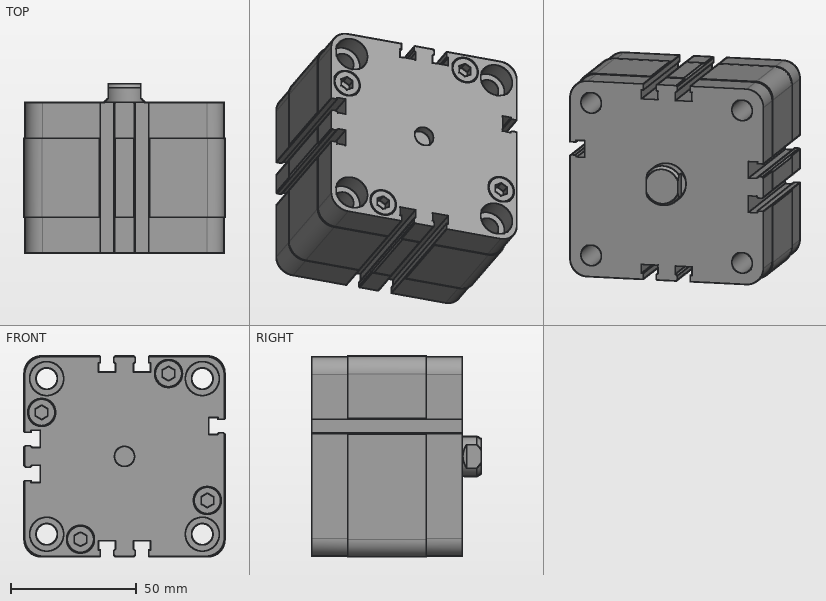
import cadquery as cq
import math


BARREL_WIDTH = 80.0
CAP_WIDTH = 79.4
CORNER_RADIUS = 7.0
HOUSING_LENGTH = 60.0
CAP_LENGTH = 14.3
BARREL_LENGTH = HOUSING_LENGTH - 2 * CAP_LENGTH

SLOT_NECK_WIDTH = 5.3
SLOT_WIDTH = 6.7
SLOT_DEPTH = 6.4
SLOT_LIP_DEPTH = 2.8
SLOT_OFFSET = 7.0
SINGLE_SLOT_OFFSET = 12.1
SLOT_EDGE_CHAMFER = 0.4
SLOT_BEVEL = (SLOT_WIDTH - SLOT_NECK_WIDTH) / 2

MOUNT_OFFSET = 31.0
MOUNT_HOLE_DIAMETER = 8.4
MOUNT_BORE_DIAMETER = 13.5
MOUNT_BORE_DEPTH = 8.6

SCREW_OFFSET_LONG = 33.0
SCREW_OFFSET_SHORT = 17.5
SCREW_HEAD_DIAMETER = 10.5
SCREW_BORE_DIAMETER = 11.1
SCREW_GAP_DEPTH = 4.0
HEX_ACROSS_FLATS = 5.0
HEX_DEPTH = 4.0

CENTRE_HOLE_DIAMETER = 8.0
CENTRE_HOLE_DEPTH = 4.0

ROD_DIAMETER = 16.0
ROD_LENGTH = 7.5
ROD_CHAMFER_LENGTH = 1.8
ROD_CHAMFER_HEIGHT = 1.0
ROD_ACROSS_FLATS = 13.0
ROD_FLAT_LENGTH = 5.8


def end_plane(y):
    """Plane square to the cylinder axis at height y, with local axes along X and Z."""
    return cq.Workplane("XZ", origin=(0, y, 0))


def housing_block(width, start, length):
    """Square block with rounded long edges."""
    block = end_plane(start).rect(width, width).extrude(-length)
    return block.edges("|Y").fillet(CORNER_RADIUS)


def slot_cutter(offset, face_angle, side):
    """Undercut slot in the +Z face, turned about Y to the wanted face.

    The lip away from the face centre is square and the lip towards it is bevelled;
    side is the direction (-1 or 1) of the slot from the face centre.
    """
    face = BARREL_WIDTH / 2
    neck = SLOT_NECK_WIDTH / 2
    wide = SLOT_WIDTH / 2
    profile = [
        (neck + SLOT_EDGE_CHAMFER, face),
        (neck, face - SLOT_EDGE_CHAMFER),
        (neck, face - SLOT_LIP_DEPTH),
        (wide, face - SLOT_LIP_DEPTH),
        (wide, face - SLOT_DEPTH),
        (-wide, face - SLOT_DEPTH),
        (-wide, face - SLOT_LIP_DEPTH - SLOT_BEVEL / 2),
        (-neck, face - SLOT_LIP_DEPTH + SLOT_BEVEL / 2),
        (-neck, face - SLOT_BEVEL),
        (-wide, face),
    ]
    points = [(side * (offset + u), z) for u, z in profile]
    cutter = end_plane(0).polyline(points).close().extrude(-HOUSING_LENGTH)
    return cutter.rotate((0, 0, 0), (0, 1, 0), face_angle)


def cut_sensor_slots(body):
    """Slot pairs on the top, bottom and -X faces, and a single slot on the +X face."""
    for face_angle in (0, 180, -90):
        for side in (-1, 1):
            body = body.cut(slot_cutter(SLOT_OFFSET, face_angle, side))
    return body.cut(slot_cutter(SINGLE_SLOT_OFFSET, 90, -1))


def cut_mounting_holes(body):
    centres = [(x, z) for x in (-MOUNT_OFFSET, MOUNT_OFFSET) for z in (-MOUNT_OFFSET, MOUNT_OFFSET)]
    holes = end_plane(0).pushPoints(centres).circle(MOUNT_HOLE_DIAMETER / 2).extrude(-HOUSING_LENGTH)
    bores = end_plane(0).pushPoints(centres).circle(MOUNT_BORE_DIAMETER / 2).extrude(-MOUNT_BORE_DEPTH)
    return body.cut(holes).cut(bores)


def cut_tie_screws(body):
    """Annular gap and hexagon socket of each tie screw, with hexagon corners towards +Z and -Z."""
    centres = [
        (SCREW_OFFSET_SHORT, SCREW_OFFSET_LONG),
        (SCREW_OFFSET_LONG, -SCREW_OFFSET_SHORT),
        (-SCREW_OFFSET_SHORT, -SCREW_OFFSET_LONG),
        (-SCREW_OFFSET_LONG, SCREW_OFFSET_SHORT),
    ]
    hex_across_corners = HEX_ACROSS_FLATS / math.cos(math.radians(30))
    for x, z in centres:
        gap = (
            end_plane(0)
            .center(x, z)
            .circle(SCREW_BORE_DIAMETER / 2)
            .circle(SCREW_HEAD_DIAMETER / 2)
            .extrude(-SCREW_GAP_DEPTH)
        )
        socket = (
            end_plane(0)
            .center(x, z)
            .transformed(rotate=(0, 0, 90))
            .polygon(6, hex_across_corners)
            .extrude(-HEX_DEPTH)
        )
        body = body.cut(gap).cut(socket)
    return body


def cut_centre_hole(body):
    return body.cut(end_plane(0).circle(CENTRE_HOLE_DIAMETER / 2).extrude(-CENTRE_HOLE_DEPTH))


def piston_rod():
    """Chamfered rod end; its flats on +X and -X run out to the rod surface at 45 degrees."""
    radius = ROD_DIAMETER / 2
    half_flats = ROD_ACROSS_FLATS / 2
    tip = HOUSING_LENGTH + ROD_LENGTH
    flat_start = tip - ROD_FLAT_LENGTH
    half_outline = [
        (0, HOUSING_LENGTH),
        (radius, HOUSING_LENGTH),
        (radius, tip - ROD_CHAMFER_LENGTH),
        (radius - ROD_CHAMFER_HEIGHT, tip),
        (0, tip),
    ]
    rod = cq.Workplane("XY").polyline(half_outline).close().revolve(360, (0, 0, 0), (0, 1, 0))
    for side in (-1, 1):
        flat_outline = [
            (side * half_flats, tip),
            (side * half_flats, flat_start),
            (side * radius, flat_start - (radius - half_flats)),
            (side * radius, tip),
        ]
        flat = cq.Workplane("XY").polyline(flat_outline).close().extrude(radius, both=True)
        rod = rod.cut(flat)
    return rod


result = housing_block(CAP_WIDTH, 0, CAP_LENGTH)
result = result.union(housing_block(BARREL_WIDTH, CAP_LENGTH, BARREL_LENGTH))
result = result.union(housing_block(CAP_WIDTH, CAP_LENGTH + BARREL_LENGTH, CAP_LENGTH))
result = cut_sensor_slots(result)
result = cut_mounting_holes(result)
result = cut_tie_screws(result)
result = cut_centre_hole(result)
result = result.union(piston_rod())